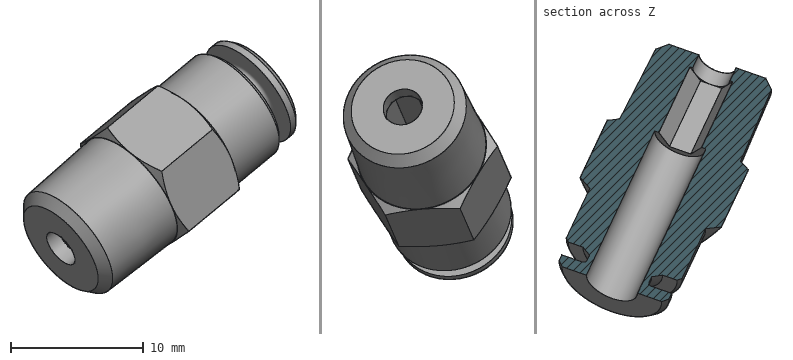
import cadquery as cq
import math


total_length = 21.2
thread_length = 7.5
hex_length = 6.5
hex_end = thread_length + hex_length
body_end = total_length - 2.18

thread_tip_radius = 9.5 / 2
thread_taper = 1 / 32
thread_chamfer_length = 0.78
thread_face_radius = 7.95 / 2
thread_root_radius = thread_tip_radius + thread_taper * (thread_length - thread_chamfer_length)

hex_across_flats = 10.0
hex_chamfer_slope = math.tan(math.radians(30))

body_radius = 9.5 / 2
body_chamfer = 0.3
neck_radius = 5.1 / 2
neck_cone_length = 0.45
neck_cone_radius = 6.5 / 2
collar_radius = 9.0 / 2
collar_thickness = 1.0
collar_chamfer = 0.42
collar_fillet = 0.28

bore_diameter = 3.0
bore_depth = 1.27
key_across_flats = bore_diameter
tube_diameter = 4.15
tube_socket_start = thread_length


def across_corners(across_flats):
    return across_flats / math.cos(math.radians(30))


def plane_at(y):
    """Workplane across the axis at station y, extruding toward +Y."""
    return cq.Workplane(cq.Plane(origin=(0, y, 0), xDir=(1, 0, 0), normal=(0, 1, 0)))


def revolve_profile(profile):
    """Close an open (radius, y) profile and turn it about the Y axis."""
    return profile.close().revolve(360, (0, 0, 0), (0, 1, 0))


def turned_body():
    collar_start = total_length - collar_thickness
    profile = (
        cq.Workplane("XY")
        .moveTo(0, 0)
        .lineTo(thread_face_radius, 0)
        .lineTo(thread_tip_radius, thread_chamfer_length)
        .lineTo(thread_root_radius, thread_length)
        .lineTo(body_radius, thread_length)
        .lineTo(body_radius, body_end - body_chamfer)
        .lineTo(body_radius - body_chamfer, body_end)
        .lineTo(neck_cone_radius, body_end)
        .lineTo(neck_radius, body_end + neck_cone_length)
        .lineTo(neck_radius, collar_start - collar_fillet)
        .radiusArc((neck_radius + collar_fillet, collar_start), collar_fillet)
        .lineTo(collar_radius, collar_start)
        .lineTo(collar_radius, total_length - collar_chamfer)
        .lineTo(collar_radius - collar_chamfer, total_length)
        .lineTo(0, total_length)
    )
    return revolve_profile(profile)


def wrench_hexagon():
    """Hexagonal prism with its corners trimmed by a cone at each end."""
    corner_diameter = across_corners(hex_across_flats)
    prism = plane_at(thread_length).polygon(6, corner_diameter).extrude(hex_length)
    corner_radius = corner_diameter / 2
    thread_side_drop = (corner_radius - hex_across_flats / 2) * hex_chamfer_slope
    body_side_drop = (corner_radius - body_radius) * hex_chamfer_slope
    envelope = (
        cq.Workplane("XY")
        .moveTo(0, thread_length)
        .lineTo(hex_across_flats / 2, thread_length)
        .lineTo(corner_radius, thread_length + thread_side_drop)
        .lineTo(corner_radius, hex_end - body_side_drop)
        .lineTo(body_radius, hex_end)
        .lineTo(0, hex_end)
    )
    return prism.intersect(revolve_profile(envelope))


def passage():
    """Round inlet, hexagon key socket and tube socket, end to end."""
    inlet = plane_at(0).circle(bore_diameter / 2).extrude(bore_depth)
    key_length = tube_socket_start - bore_depth
    key_socket = plane_at(bore_depth).polygon(6, across_corners(key_across_flats)).extrude(key_length)
    tube_length = total_length - tube_socket_start
    tube_socket = plane_at(tube_socket_start).circle(tube_diameter / 2).extrude(tube_length)
    return inlet.union(key_socket).union(tube_socket)


result = turned_body().union(wrench_hexagon()).cut(passage())